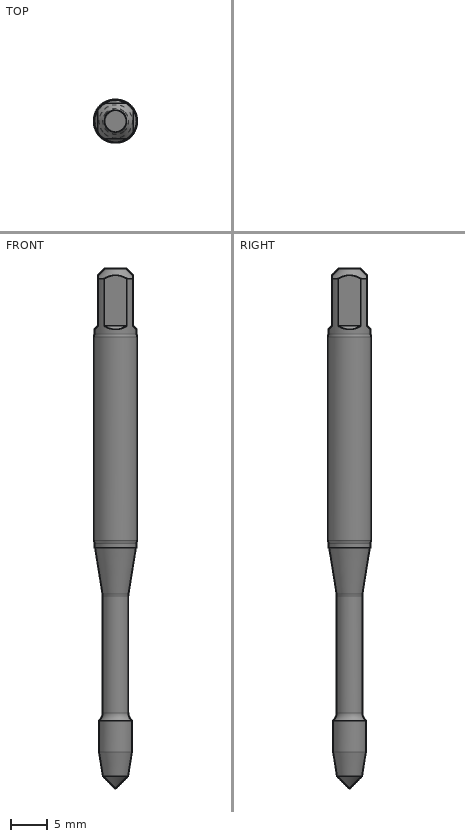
import cadquery as cq

total_length = 71.8
shank_radius = 6.0 / 2
collar_radius = 5.8 / 2
shank_top_z = 62.8
shank_bottom_z = 33.9
edge_bevel_height = 0.4
shank_end_z = 33.25

across_flats = 4.9
end_face_radius = 1.5
flat_bottom_z = 63.9
flat_runout_height = 0.5

taper_top_radius = 5.7 / 2
neck_radius = 3.6 / 2
taper_end_z = 26.8
head_radius = 4.6 / 2
head_top_z = 9.4
head_fillet_start_z = 10.5
lead_start_z = 5.1
tip_radius = 3.5 / 2
corner_search_height = 0.1
tip_height = tip_radius


def make_shank():
    """Round shank with bevelled edges and a four-sided drive on top."""
    end_bevel_height = collar_radius - end_face_radius
    blank = (
        cq.Workplane("XZ")
        .moveTo(0, shank_end_z)
        .lineTo(collar_radius, shank_end_z)
        .lineTo(collar_radius, shank_bottom_z)
        .lineTo(shank_radius, shank_bottom_z + edge_bevel_height)
        .lineTo(shank_radius, shank_top_z - edge_bevel_height)
        .lineTo(collar_radius, shank_top_z)
        .lineTo(collar_radius, total_length - end_bevel_height)
        .lineTo(end_face_radius, total_length)
        .lineTo(0, total_length)
        .close()
        .revolve(360, (0, 0), (0, 1))
    )
    return cut_drive_flats(blank)


def cut_drive_flats(blank):
    """Mill four flats with a sloped runout at their lower ends."""
    flat_distance = across_flats / 2
    flat_cutter = (
        cq.Workplane("XZ")
        .moveTo(flat_distance, flat_bottom_z)
        .lineTo(collar_radius, flat_bottom_z - flat_runout_height)
        .lineTo(collar_radius, total_length)
        .lineTo(flat_distance, total_length)
        .close()
        .extrude(collar_radius, both=True)
    )
    for side in range(4):
        blank = blank.cut(flat_cutter.rotate((0, 0, 0), (0, 0, 1), 90 * side))
    return blank


def make_cutter():
    """Tapered root, slim neck and a round head with a conical point."""
    fillet_height = head_fillet_start_z - head_top_z
    fillet_step = head_radius - neck_radius
    fillet_radius = (fillet_height**2 + fillet_step**2) / (2 * fillet_step)
    cutter = (
        cq.Workplane("XZ")
        .moveTo(0, 0)
        .lineTo(tip_radius, tip_height)
        .lineTo(head_radius, lead_start_z)
        .lineTo(head_radius, head_top_z)
        .radiusArc((neck_radius, head_fillet_start_z), fillet_radius)
        .lineTo(neck_radius, taper_end_z)
        .lineTo(taper_top_radius, shank_end_z)
        .lineTo(0, shank_end_z)
        .close()
        .revolve(360, (0, 0), (0, 1))
    )
    corner = cq.selectors.BoxSelector(
        (-head_radius, -head_radius, taper_end_z - corner_search_height),
        (head_radius, head_radius, taper_end_z + corner_search_height),
    )
    return cutter.edges("%CIRCLE").edges(corner).fillet(fillet_radius)


shank = make_shank()
cutter = make_cutter()

result = cq.Compound.makeCompound([shank.val(), cutter.val()])